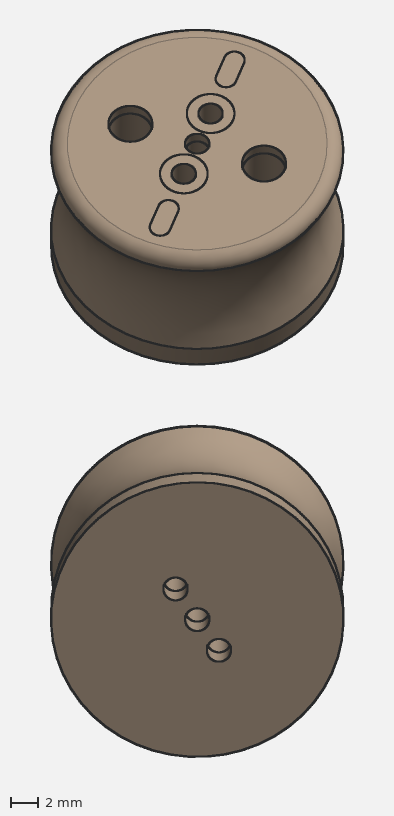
import cadquery as cq

outer_diameter = 21.6
outer_radius = outer_diameter / 2
total_height = 13.0
base_height = 2.0
cap_thickness = 1.0
cap_bottom = total_height - cap_thickness
spool_height = cap_bottom - base_height
waist_depth = 1.25

cap_flat_diameter = 19.18
rim_width = outer_radius - cap_flat_diameter / 2

bore_diameter = 1.8
bore_spacing = 2.9
pocket_diameter = 3.25
pocket_offset = 5.25

boss_diameter = 3.52
key_length = 3.33
key_width = 1.53
key_offset = 7.13

boss_centers = [(0, -bore_spacing), (0, bore_spacing)]
bore_centers = [(0, 0), *boss_centers]
pocket_centers = [(-pocket_offset, 0), (pocket_offset, 0)]
key_centers = [(0, -key_offset), (0, key_offset)]


def cylinders(centers, diameter, bottom, height):
    """Upright cylinders of one diameter at the given XY centers."""
    return cq.Workplane("XY", origin=(0, 0, bottom)).pushPoints(centers).circle(diameter / 2).extrude(height)


def bores():
    """The three bores that run through the whole stack."""
    return cylinders(bore_centers, bore_diameter, 0, total_height)


def pockets():
    """The two round pockets that pass through cap and spool and stop on the base."""
    return cylinders(pocket_centers, pocket_diameter, base_height, total_height - base_height)


def locators():
    """Two round bosses and two rounded keys, as thick as the cap."""
    bosses = cylinders(boss_centers, boss_diameter, cap_bottom, cap_thickness)
    keys = (
        cq.Workplane("XY", origin=(0, 0, cap_bottom))
        .pushPoints(key_centers)
        .slot2D(key_length, key_width, 90)
        .extrude(cap_thickness)
    )
    return bosses.add(keys).combine()


def make_base():
    """Plain disc with the three bores."""
    return cylinders([(0, 0)], outer_diameter, 0, base_height).cut(bores())


def make_spool():
    """Waisted body with the locators on top."""
    waist_radius = outer_radius - waist_depth
    body = (
        cq.Workplane("XZ")
        .moveTo(0, base_height)
        .lineTo(outer_radius, base_height)
        .threePointArc((waist_radius, base_height + spool_height / 2), (outer_radius, cap_bottom))
        .lineTo(0, cap_bottom)
        .close()
        .revolve(360, (0, 0), (0, 1))
    )
    return body.union(locators()).cut(bores()).cut(pockets())


def make_cap():
    """Disc with a rounded rim, pierced for the locators, pockets and center bore."""
    disc = (
        cq.Workplane("XZ")
        .moveTo(0, cap_bottom)
        .lineTo(outer_radius, cap_bottom)
        .ellipseArc(rim_width, cap_thickness, 0, 90, startAtCurrent=True)
        .lineTo(0, total_height)
        .close()
        .revolve(360, (0, 0), (0, 1))
    )
    return disc.cut(locators()).cut(bores()).cut(pockets())


base = make_base()
spool = make_spool()
cap = make_cap()

result = cq.Compound.makeCompound([base.val(), spool.val(), cap.val()])